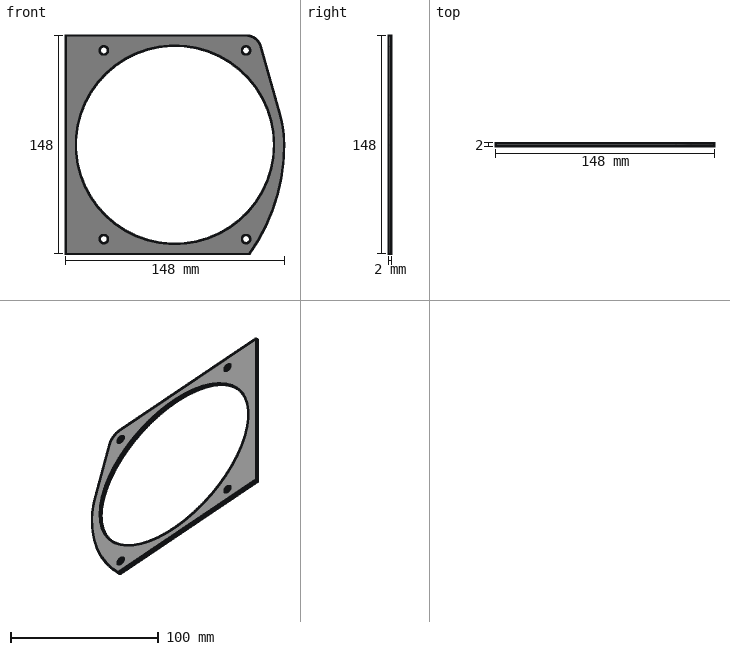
import cadquery as cq
import math

side = 148.0
thickness = 2.0
half = side / 2

opening_diameter = 134.0
hole_diameter = 5.5
left_hole_x = -48.1
right_hole_x = 48.1
hole_z = 63.8

upper_arc_radius = 74.0
slope_angle = math.radians(15.8)
corner_radius = 10.4
bottom_edge_end_x = 50.3
lower_arc_radius = 127.3


def arc_point(radius, angle):
    """Point on an arc that is vertical at the widest point of the plate."""
    return (half - radius * (1 - math.cos(angle)), radius * math.sin(angle))


def make_plate():
    slope_start_x, slope_start_z = arc_point(upper_arc_radius, slope_angle)
    top_corner_x = slope_start_x - (half - slope_start_z) * math.tan(slope_angle)

    corner_turn = math.pi / 2 - slope_angle
    tangent_length = corner_radius * math.tan(corner_turn / 2)
    round_start = (
        top_corner_x + tangent_length * math.sin(slope_angle),
        half - tangent_length * math.cos(slope_angle),
    )
    round_end = (top_corner_x - tangent_length, half)
    round_middle_angle = slope_angle + corner_turn / 2
    round_middle = (
        round_end[0] + corner_radius * math.cos(round_middle_angle),
        half - corner_radius * (1 - math.sin(round_middle_angle)),
    )

    return (
        cq.Workplane("XZ", origin=(0, thickness / 2, 0))
        .moveTo(-half, -half)
        .lineTo(bottom_edge_end_x, -half)
        .radiusArc((half, 0), -lower_arc_radius)
        .threePointArc(
            arc_point(upper_arc_radius, slope_angle / 2),
            (slope_start_x, slope_start_z),
        )
        .lineTo(*round_start)
        .threePointArc(round_middle, round_end)
        .lineTo(-half, half)
        .close()
        .extrude(thickness)
    )


def cut_openings(plate):
    hole_positions = [(x, z) for x in (left_hole_x, right_hole_x) for z in (-hole_z, hole_z)]
    cutters = (
        cq.Workplane("XZ", origin=(0, thickness / 2, 0))
        .circle(opening_diameter / 2)
        .pushPoints(hole_positions)
        .circle(hole_diameter / 2)
        .extrude(thickness)
    )
    return plate.cut(cutters)


result = cut_openings(make_plate())